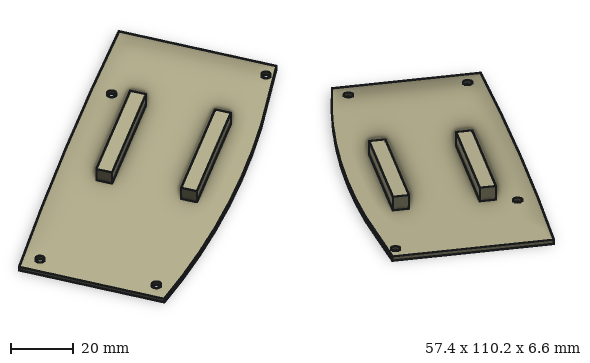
import cadquery as cq

BOARD_LENGTH = 110.18
BOARD_WIDTH = 57.44
BOARD_THICKNESS = 1.6
LOWER_LEFT_X = 1.45
UPPER_LEFT_X = 0.74
LEFT_BULGE_Y = 61.0
LOWER_RIGHT_X = 49.95
UPPER_RIGHT_X = 53.4
RIGHT_BULGE_Y = 61.5
RIGHT_ARC_END = (56.55, 83.4)

HOLE_DIAMETER = 3.0
HOLE_LEFT_X = 6.8
HOLE_LOWER_Y = 5.3
HOLE_RIGHT_X = 45.7
HOLE_CORNER_X = 51.4
HOLE_MIDDLE_Y = 82.75
HOLE_UPPER_Y = 105.35
HOLE_CENTERS = [
    (HOLE_LEFT_X, HOLE_LOWER_Y),
    (HOLE_RIGHT_X, HOLE_LOWER_Y),
    (HOLE_LEFT_X, HOLE_MIDDLE_Y),
    (HOLE_CORNER_X, HOLE_UPPER_Y),
]

HEADER_COUNT = 2
HEADER_WIDTH = 5.25
HEADER_LENGTH = 36.7
HEADER_HEIGHT = 5.0
HEADER_SPACING = 28.35
HEADER_LEFT_X = 13.55
HEADER_LOWER_Y = 44.4


def make_board():
    """Flat board: straight ends, bowed left edge, right edge an arc that runs out into a straight stretch."""
    return (
        cq.Workplane("XY")
        .moveTo(LOWER_LEFT_X, 0)
        .lineTo(LOWER_RIGHT_X, 0)
        .threePointArc((BOARD_WIDTH, RIGHT_BULGE_Y), RIGHT_ARC_END)
        .lineTo(UPPER_RIGHT_X, BOARD_LENGTH)
        .lineTo(UPPER_LEFT_X, BOARD_LENGTH)
        .threePointArc((0, LEFT_BULGE_Y), (LOWER_LEFT_X, 0))
        .close()
        .extrude(BOARD_THICKNESS)
    )


def make_hole(center):
    """Cylinder that cuts one mounting hole through the board."""
    return cq.Workplane("XY").center(*center).circle(HOLE_DIAMETER / 2).extrude(BOARD_THICKNESS)


def make_header(left_x):
    """Rectangular header block standing on the board."""
    return (
        cq.Workplane("XY", origin=(left_x, HEADER_LOWER_Y, BOARD_THICKNESS))
        .rect(HEADER_WIDTH, HEADER_LENGTH, centered=False)
        .extrude(HEADER_HEIGHT)
    )


result = make_board()
for hole_center in HOLE_CENTERS:
    result = result.cut(make_hole(hole_center))
for column in range(HEADER_COUNT):
    result = result.union(make_header(HEADER_LEFT_X + column * HEADER_SPACING))